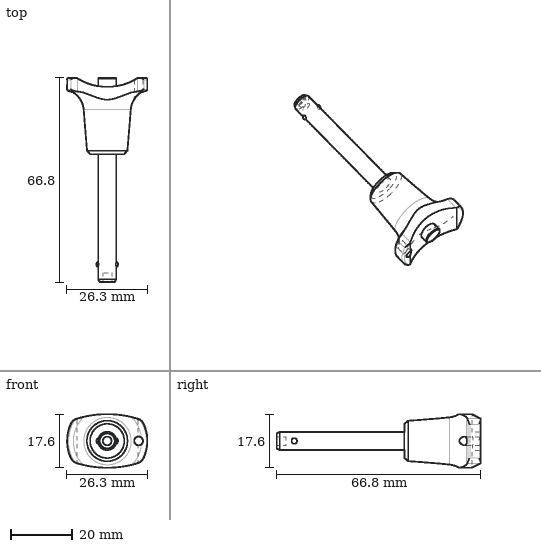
import cadquery as cq
import math


handle_height = 25.0
shank_length = 41.8
flange_radius = 13.165
flange_width = 17.6

shoulder_radius = 5.6
shoulder_chamfer_height = 1.2
cone_base_radius = 6.65
cone_top_radius = 7.75
cone_top_y = 14.65
flare_end_radius = 11.15
flare_end_y = 20.2
flange_underside_slope = 18.0
flange_edge_fillet = 0.6

long_side_radius = 34.0
corner_radius = 3.4

saddle_half_width = 10.0
saddle_depth = 2.95

lanyard_hole_diameter = 2.8
lanyard_hole_x = 10.25

shank_diameter = 6.0
button_chamfer = 0.25
tip_chamfer_height = 1.0
tip_chamfer_width = 0.55
tip_bore_diameter = 2.85
tip_bore_depth = 3.0

ball_diameter = 2.0
ball_protrusion = 0.55
ball_to_tip = 5.8

shank_radius = shank_diameter / 2
tip_y = -shank_length
flange_overhang = flange_radius - flare_end_radius
flange_rim_y = flare_end_y + flange_overhang * math.tan(math.radians(flange_underside_slope))


def cylinder_along_y(radius, start_y, length):
    """Round bar on the pin axis, growing to +Y from start_y."""
    return cq.Workplane("XZ", origin=(0, start_y, 0)).circle(radius).extrude(-length)


def flare_midpoint():
    """Middle of the concave flare arc that leaves the cone tangentially."""
    taper = math.atan2(cone_top_radius - cone_base_radius, cone_top_y - shoulder_chamfer_height)
    run = flare_end_radius - cone_top_radius
    rise = flare_end_y - cone_top_y
    chord = math.hypot(run, rise)
    half_turn = math.atan2(run, rise) - taper
    sagitta = chord / 2 * math.tan(half_turn / 2)
    mid_radius = cone_top_radius + run / 2 - sagitta * rise / chord
    mid_y = cone_top_y + rise / 2 + sagitta * run / chord
    return mid_radius, mid_y


def revolved_handle():
    """Chamfered cone flaring out into a round flange with filleted rims."""
    body = (
        cq.Workplane("XY")
        .moveTo(0, 0)
        .lineTo(shoulder_radius, 0)
        .lineTo(cone_base_radius, shoulder_chamfer_height)
        .lineTo(cone_top_radius, cone_top_y)
        .threePointArc(flare_midpoint(), (flare_end_radius, flare_end_y))
        .lineTo(flange_radius, flange_rim_y)
        .lineTo(flange_radius, handle_height)
        .lineTo(0, handle_height)
        .close()
        .revolve(360, (0, 0, 0), (0, 1, 0))
    )
    widest_circles = cq.selectors.RadiusNthSelector(-1)
    return body.edges("%CIRCLE").edges(widest_circles).fillet(flange_edge_fillet)


def handle_outline():
    """Prism with bowed long sides and round ends that trims the handle."""
    bow_offset = long_side_radius - flange_width / 2
    upper_bow = cq.Workplane("XZ").center(0, -bow_offset).circle(long_side_radius).extrude(-handle_height)
    lower_bow = cq.Workplane("XZ").center(0, bow_offset).circle(long_side_radius).extrude(-handle_height)
    lens = upper_bow.intersect(lower_bow)
    blank = lens.intersect(cylinder_along_y(flange_radius, 0, handle_height))
    return blank.edges("|Y").fillet(corner_radius)


def finger_saddle():
    """Large cylinder along Z that hollows the top of the handle."""
    radius = (saddle_half_width**2 + saddle_depth**2) / (2 * saddle_depth)
    centre_y = handle_height - saddle_depth + radius
    return cq.Workplane("XY").center(0, centre_y).circle(radius).extrude(flange_width, both=True)


def lanyard_hole():
    """Through hole beside the cone for a lanyard ring."""
    return (
        cq.Workplane("XZ")
        .center(lanyard_hole_x, 0)
        .circle(lanyard_hole_diameter / 2)
        .extrude(-handle_height)
    )


def shank():
    """Chamfered pin running from the tip up to the push button."""
    return (
        cq.Workplane("XY")
        .moveTo(0, tip_y)
        .lineTo(shank_radius - tip_chamfer_width, tip_y)
        .lineTo(shank_radius, tip_y + tip_chamfer_height)
        .lineTo(shank_radius, handle_height - button_chamfer)
        .lineTo(shank_radius - button_chamfer, handle_height)
        .lineTo(0, handle_height)
        .close()
        .revolve(360, (0, 0, 0), (0, 1, 0))
    )


def locking_ball(side):
    """Ball standing slightly proud of the shank on the -X or +X side."""
    centre_x = side * (shank_radius + ball_protrusion - ball_diameter / 2)
    return cq.Workplane("XY", origin=(centre_x, tip_y + ball_to_tip, 0)).sphere(ball_diameter / 2)


handle = revolved_handle().intersect(handle_outline())
handle = handle.cut(finger_saddle()).cut(lanyard_hole())

result = handle.union(shank())
for ball_side in (-1, 1):
    result = result.union(locking_ball(ball_side))

result = result.cut(cylinder_along_y(tip_bore_diameter / 2, tip_y, tip_bore_depth))